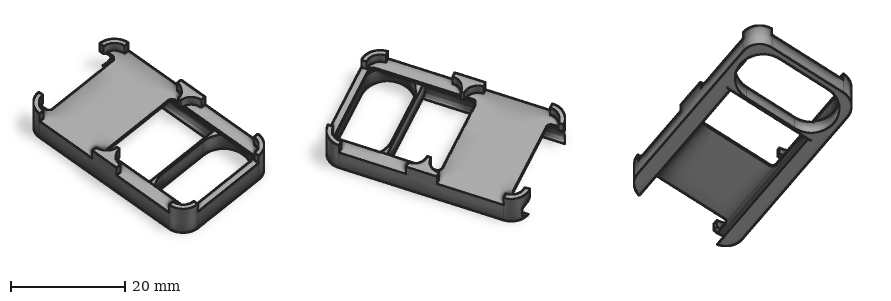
import cadquery as cq

length = 38.23
width = 22.7
height = 6.35
outer_radius = 3.58
base_height = 4.32
plate_thickness = 0.48
ceiling = base_height - plate_thickness

rim_wall = 1.0
seat_gap = 0.66
seat_radius = outer_radius - rim_wall
seat_length = (length - 2 * rim_wall - seat_gap) / 2
seat_width = width - 2 * rim_wall
post_reach = outer_radius
end_opening_width = width - 2 * post_reach
side_opening_length = seat_length - 2 * seat_radius

cavity_width = 19.7
cavity_radius = 1.4
divider_left = 7.8
divider_right = 8.17

pocket_right = 18.05
pocket_width = 20.3
pocket_length = pocket_right - divider_right

opening_depth = 0.6
opening_floor = base_height - opening_depth
window_width = 17.06
window_radius = 0.85
notch_right = -15.9
window_left = -2.48
window_right = 17.72


def box(x_min, x_max, y_size, z_min, z_max):
    """Block centred on Y = 0."""
    block = cq.Workplane("XY").box(x_max - x_min, y_size, z_max - z_min, centered=(False, True, False))
    return block.translate((x_min, 0, z_min))


def rounded_box(x_min, x_max, y_size, z_min, z_max, radius):
    """Block centred on Y = 0 with rounded vertical edges."""
    return box(x_min, x_max, y_size, z_min, z_max).edges("|Z").fillet(radius)


def make_body():
    """Rounded base block with the locating posts standing on it."""
    body = rounded_box(-length / 2, length / 2, width, 0, height, outer_radius)
    body = body.cut(box(-length, length, end_opening_width, base_height, height))
    for side in (-1, 1):
        seat_center = side * (seat_length + seat_gap) / 2
        seat_left = seat_center - seat_length / 2
        seat_right = seat_center + seat_length / 2
        body = body.cut(rounded_box(seat_left, seat_right, seat_width, base_height, height, seat_radius))
        opening_left = seat_center - side_opening_length / 2
        opening_right = seat_center + side_opening_length / 2
        body = body.cut(box(opening_left, opening_right, width, base_height, height))
    return body


def cut_cavity(body):
    """Round-edged cavity, open at the -X end and stopped by the divider."""
    cavity = box(-length, divider_left, cavity_width, 0, ceiling).edges("|X").fillet(cavity_radius)
    return body.cut(cavity)


def cut_pocket(body):
    """Round-ended pocket through the floor, below the plate."""
    pocket_center = (divider_right + pocket_right) / 2
    outline = cq.Workplane("XY").center(pocket_center, 0).slot2D(pocket_width, pocket_length, 90)
    pocket = outline.extrude(ceiling)
    return body.cut(pocket)


def cut_plate_openings(body):
    """End notch and window through the plate."""
    notch = box(-length, notch_right, window_width, opening_floor, base_height)
    notch = notch.edges("|Z and >X").fillet(window_radius)
    window = rounded_box(window_left, window_right, window_width, opening_floor, base_height, window_radius)
    return body.cut(notch).cut(window)


def make_gusset(side):
    """Sloped web under the overhang of a post at the -X end, kept inside the post footprint."""
    wall_y = side * window_width / 2
    tip_y = side * end_opening_width / 2
    gusset = (
        cq.Workplane("YZ", origin=(-length / 2, 0, 0))
        .polyline([(tip_y, base_height), (wall_y, base_height), (wall_y, ceiling)])
        .close()
        .extrude(outer_radius)
    )
    footprint = rounded_box(-length / 2, length / 2, width, 0, height, outer_radius)
    seat = rounded_box(-length / 2 + rim_wall, length / 2, seat_width, 0, height, seat_radius)
    return gusset.intersect(footprint.cut(seat))


def add_gussets(body):
    """One gusset on each side of the open end."""
    for side in (-1, 1):
        body = body.union(make_gusset(side))
    return body


body = make_body()
body = cut_cavity(body)
body = cut_pocket(body)
body = cut_plate_openings(body)
result = add_gussets(body)